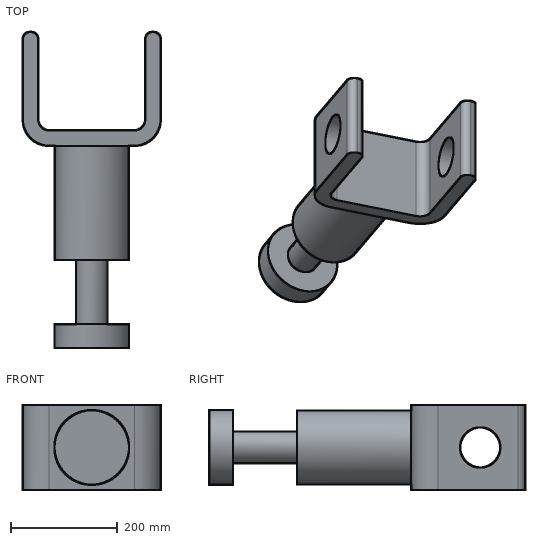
import cadquery as cq

total_length = 595.0
yoke_width = 260.0
yoke_height = 160.0

yoke_length = 215.0
wall = 30.0
outer_bend_radius = 50.0
inner_bend_radius = outer_bend_radius - wall
tip_radius = 14.0
pin_hole_diameter = 75.0
pin_hole_from_tip = 85.0

barrel_diameter = 140.0
rod_diameter = 60.0
rod_length = 120.0
head_diameter = 141.0
head_length = 45.0
barrel_length = total_length - yoke_length - rod_length - head_length


def make_yoke():
    """U-shaped strap with its outer back face on Y = 0 and a pin hole through both legs."""
    block = cq.Workplane("XY").box(
        yoke_width, yoke_length, yoke_height, centered=(True, False, True)
    )
    block = block.edges("|Z and <Y").fillet(outer_bend_radius)
    opening = (
        cq.Workplane("XY")
        .box(yoke_width - 2 * wall, yoke_length, yoke_height, centered=(True, False, True))
        .edges("|Z and <Y")
        .fillet(inner_bend_radius)
        .translate((0, wall, 0))
    )
    strap = block.cut(opening).edges("|Z and >Y").fillet(tip_radius)
    pin_hole = (
        cq.Workplane("YZ")
        .center(yoke_length - pin_hole_from_tip, 0)
        .circle(pin_hole_diameter / 2)
        .extrude(yoke_width, both=True)
    )
    return strap.cut(pin_hole)


def make_cylinder(diameter, start_y, length):
    """Cylinder on the Y axis, running from start_y toward -Y."""
    return cq.Workplane("XZ", origin=(0, start_y, 0)).circle(diameter / 2).extrude(length)


barrel = make_cylinder(barrel_diameter, 0, barrel_length)
rod = make_cylinder(rod_diameter, -barrel_length, rod_length)
head = make_cylinder(head_diameter, -barrel_length - rod_length, head_length)

result = make_yoke().union(barrel).union(rod).union(head)